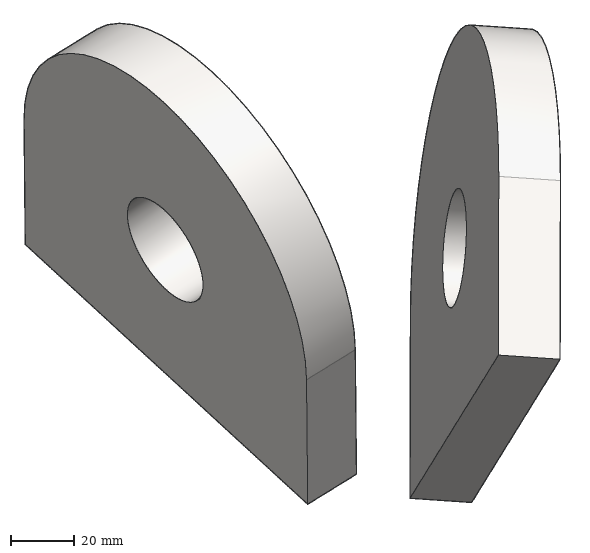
import cadquery as cq

THICKNESS = 20.0
ROUND_RADIUS = 71.0
BASE_DEPTH = 60.0
HOLE_DIAMETER = 38.0
TILT = 0.568


def make_plate():
    """Half-round top on straight sides, centred on the hole axis, front face at Y = 0."""
    profile = (
        cq.Workplane("XZ")
        .moveTo(-ROUND_RADIUS, 0)
        .threePointArc((0, ROUND_RADIUS), (ROUND_RADIUS, 0))
        .lineTo(ROUND_RADIUS, -BASE_DEPTH)
        .lineTo(-ROUND_RADIUS, -BASE_DEPTH)
        .close()
    )
    return profile.extrude(-THICKNESS)


def make_hole():
    """Cylinder that cuts the hole through the full thickness."""
    return cq.Workplane("XZ").circle(HOLE_DIAMETER / 2).extrude(-THICKNESS)


upright_plate = make_plate().cut(make_hole())

result = upright_plate.rotate((0, 0, 0), (0, 1, 0), -TILT)